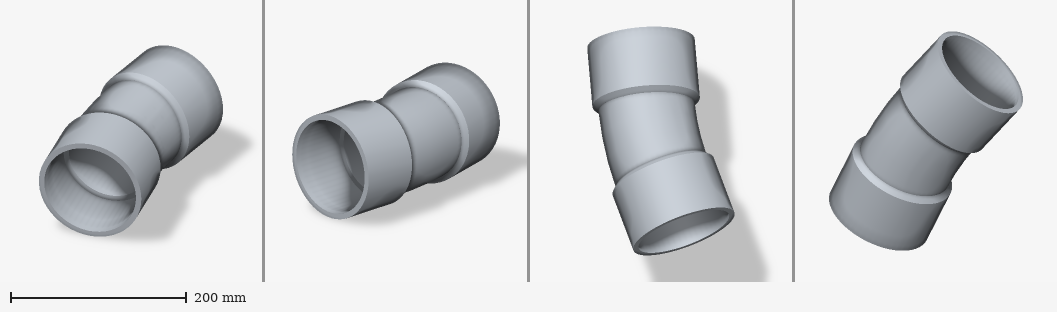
import cadquery as cq
import math

bend_angle = 15.0
overall_length = 244.0
socket_diameter = 123.0
pipe_diameter = 110.0
bore_diameter = 97.0
socket_length = 70.0

socket_radius = socket_diameter / 2
pipe_radius = pipe_diameter / 2
chamfer_length = socket_radius - pipe_radius
leg_length = socket_length + chamfer_length
angle = math.radians(bend_angle)
centre_rise = overall_length - socket_radius * math.sin(angle)
bend_radius = (centre_rise - socket_length * (1 + math.cos(angle))) / math.sin(angle)


def bent_rod(diameter):
    """Solid rod following the bend between the two straight sockets."""
    return (
        cq.Workplane("XZ", origin=(0, socket_length, 0))
        .circle(diameter / 2)
        .revolve(bend_angle, (bend_radius, 0, 0), (bend_radius, -1, 0))
    )


def leg_outside():
    """Socket with its conical shoulder, mouth at Y = 0."""
    return (
        cq.Workplane("XY")
        .polyline([
            (0, 0),
            (socket_radius, 0),
            (socket_radius, socket_length),
            (pipe_radius, leg_length),
            (0, leg_length),
        ])
        .close()
        .revolve(360, (0, 0, 0), (0, 1, 0))
    )


def leg_inside():
    """Straight socket bore, ending at the flat shoulder where the bend starts."""
    return cq.Workplane("XZ").circle(pipe_radius).extrude(-socket_length)


def both_ends(leg):
    """The leg together with its mirror image across the middle of the bend."""
    bend_centre = (bend_radius, socket_length, 0)
    axis_end = (bend_radius, socket_length, 1)
    far_leg = leg.mirror("XZ", (0, socket_length, 0)).rotate(bend_centre, axis_end, -bend_angle)
    return leg, far_leg


def bent_fitting(leg, bend_diameter):
    """Join the two end legs with the bend between them."""
    near_leg, far_leg = both_ends(leg)
    return bent_rod(bend_diameter).union(near_leg).union(far_leg)


outside = bent_fitting(leg_outside(), pipe_diameter)
inside = bent_fitting(leg_inside(), bore_diameter)
result = outside.cut(inside)